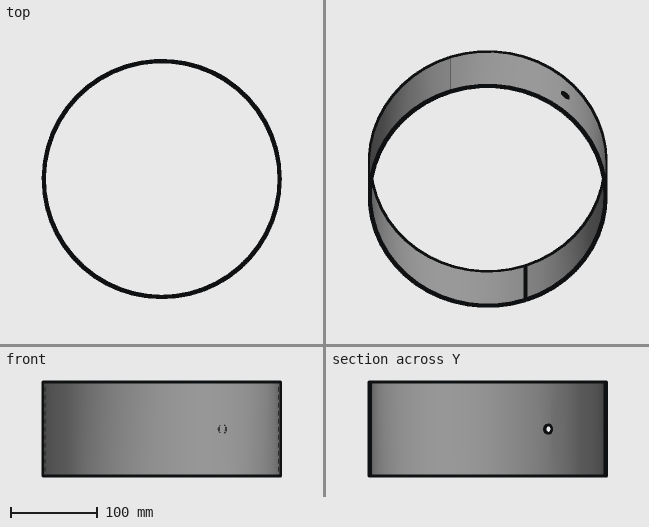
import cadquery as cq

outer_diameter = 275.0
height = 110.0
wall = 2.5
bevel_width = 0.8
bevel_height = 1.5
slit_width = 2.0
slit_offset = 1.5
hole_diameter = 10.0
hole_angle = 59.0

outer_radius = outer_diameter / 2
inner_radius = outer_radius - wall


def make_band():
    """Thin ring standing on Z = 0, with inner and outer rim edges bevelled."""
    section = [
        (inner_radius + bevel_width, 0),
        (outer_radius - bevel_width, 0),
        (outer_radius, bevel_height),
        (outer_radius, height - bevel_height),
        (outer_radius - bevel_width, height),
        (inner_radius + bevel_width, height),
        (inner_radius, height - bevel_height),
        (inner_radius, bevel_height),
    ]
    return (
        cq.Workplane("XZ")
        .polyline(section)
        .close()
        .revolve(360, (0, 0, 0), (0, 1, 0))
    )


def make_slit():
    """Full-height cutter that splits the band on its -X side."""
    return cq.Workplane("XY").box(
        outer_radius, slit_width, height, centered=(False, True, False)
    ).translate((-outer_radius, slit_offset, 0))


def make_hole():
    """Radial cutter at mid-height, running outward from the axis."""
    return (
        cq.Workplane("YZ")
        .center(0, height / 2)
        .circle(hole_diameter / 2)
        .extrude(outer_radius)
        .rotate((0, 0, 0), (0, 0, 1), hole_angle)
    )


result = make_band().cut(make_slit()).cut(make_hole())